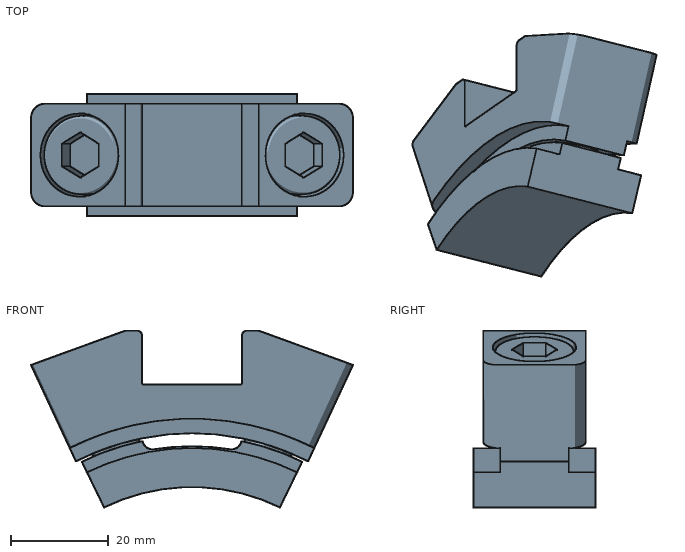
import math

import cadquery as cq

side_angle = 25.0
screw_angle = 20.0

overall_width = 65.85
block_depth = 21.0
block_top = 73.0
crown_half_width = 13.65
block_inner_radius = 55.0
block_corner_radius = 3.0
slot_width = 20.4
slot_depth = 11.0
slot_lip_radius = 1.0
slot_floor_fillet = 0.3

tongue_depth = 14.0
upper_tongue_radius = 52.0
lower_tongue_radius = 51.4
recess_width = 20.2
recess_floor_radius = 49.4
recess_fillet = 2.0

plate_depth = 25.0
plate_inner_radius = 41.0
plate_outer_radius = 49.0
plate_half_angle = 26.0

screw_spacing = 46.0
shank_diameter = 10.0
head_diameter = 16.0
head_height = 10.0
head_rim_radius = 0.5
head_recess = 0.5
counterbore_diameter = 17.0
socket_flats = 8.0
socket_depth = 5.0
shank_length = 17.0

side_tan = math.tan(math.radians(side_angle))
shoulder_drop = math.tan(math.radians(screw_angle))
half_width = overall_width / 2
shoulder_z = block_top - (half_width - crown_half_width) * shoulder_drop


def prism(points, depth):
    """Closed XZ outline extruded symmetrically about Y = 0."""
    return cq.Workplane("XZ").polyline(points).close().extrude(depth / 2, both=True)


def arc_cylinder(radius, depth):
    """Solid cylinder on the arc axis."""
    return cq.Workplane("XZ").circle(radius).extrude(depth / 2, both=True)


def block_wedge(depth):
    """Block outline with its end faces carried down to where they meet."""
    apex_z = shoulder_z - half_width / side_tan
    points = [
        (0, apex_z),
        (half_width, shoulder_z),
        (crown_half_width, block_top),
        (-crown_half_width, block_top),
        (-half_width, shoulder_z),
    ]
    return prism(points, depth)


def plate_wedge(depth):
    """Triangle between the radial end faces of the lower plate, tall enough to span its arcs."""
    top_half_width = block_top * math.tan(math.radians(plate_half_angle))
    points = [(0, 0), (top_half_width, block_top), (-top_half_width, block_top)]
    return prism(points, depth)


def make_block():
    block = block_wedge(block_depth).cut(arc_cylinder(block_inner_radius, block_depth))
    for side in (-1, 1):
        end_edge = cq.Vector(side * side_tan, 0, 1)
        block = block.edges(cq.selectors.ParallelDirSelector(end_edge)).fillet(block_corner_radius)

    slot_floor = block_top - slot_depth
    slot = cq.Workplane("XY").workplane(offset=slot_floor).rect(slot_width, block_depth)
    slot = slot.extrude(slot_depth).faces("<Z").edges("|Y").fillet(slot_floor_fillet)
    block = block.cut(slot)
    for side in (-1, 1):
        slot_rim = cq.selectors.NearestToPointSelector((side * slot_width / 2, 0, block_top))
        block = block.edges("|Y").edges(slot_rim).fillet(slot_lip_radius)

    tongue = block_wedge(tongue_depth).intersect(arc_cylinder(block_inner_radius, tongue_depth))
    tongue = tongue.cut(arc_cylinder(upper_tongue_radius, tongue_depth))
    return block.union(tongue)


def make_tongue_recess():
    """Shallow curved-floor recess in the middle of the lower tongue."""
    recess = cq.Workplane("XY").rect(recess_width, tongue_depth).extrude(block_top)
    recess = recess.cut(arc_cylinder(recess_floor_radius, tongue_depth))
    return recess.edges("|Y").edges("not >Z").fillet(recess_fillet)


def make_plate():
    plate = plate_wedge(plate_depth).intersect(arc_cylinder(plate_outer_radius, plate_depth))
    tongue = plate_wedge(tongue_depth).intersect(arc_cylinder(lower_tongue_radius, tongue_depth))
    plate = plate.union(tongue.cut(make_tongue_recess()))
    return plate.cut(arc_cylinder(plate_inner_radius, plate_depth))


def screw_plane(side):
    """Plane on a sloping top, centred on its screw, with its normal out along the screw axis."""
    tilt = math.radians(screw_angle)
    seat_x = screw_spacing / 2
    seat_z = block_top - (seat_x - crown_half_width) * shoulder_drop
    return cq.Plane(
        origin=(side * seat_x, 0, seat_z),
        xDir=(0, 1, 0),
        normal=(side * math.sin(tilt), 0, math.cos(tilt)),
    )


def make_counterbore(plane):
    depth = head_recess + head_height
    return cq.Workplane(plane).circle(counterbore_diameter / 2).extrude(-depth)


def make_screw(plane):
    head_top = cq.Workplane(plane).workplane(offset=-head_recess)
    head = head_top.circle(head_diameter / 2).extrude(-head_height)
    head = head.faces(cq.selectors.DirectionMinMaxSelector(plane.zDir)).edges().fillet(head_rim_radius)
    socket_corners = socket_flats / math.cos(math.radians(30))
    socket = head_top.polygon(6, socket_corners).extrude(-socket_depth)
    head_bottom = head_recess + head_height
    shank = cq.Workplane(plane).workplane(offset=-head_bottom)
    shank = shank.circle(shank_diameter / 2).extrude(-shank_length)
    return head.cut(socket).union(shank)


result = make_block().union(make_plate())
for side in (-1, 1):
    plane = screw_plane(side)
    result = result.cut(make_counterbore(plane)).union(make_screw(plane))